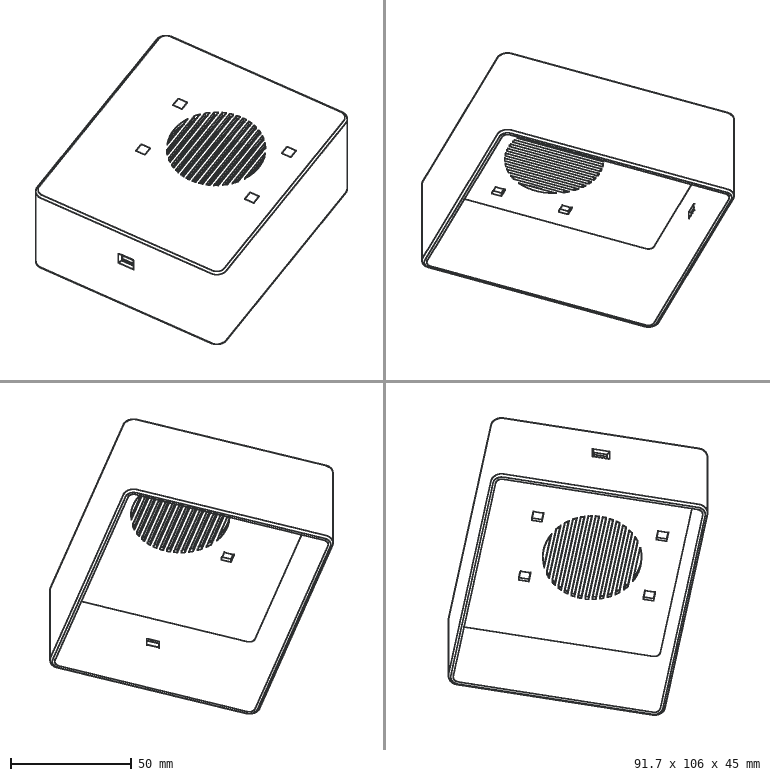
import cadquery as cq

width = 91.7
length = 106.0
height = 45.0
corner_radius = 4.6
edge_chamfer = 1.0
wall = 2.0
top_z = height / 2
bottom_z = -height / 2

grille_x = 7.4
grille_y = 7.6
grille_diameter = 41.1
bar_count = 13
bar_row_length = 36.0
bar_pitch = bar_row_length / (bar_count - 1)
bar_width = bar_pitch / 2

port_z = 5.6
port_mouth_width = 7.5
port_mouth_height = 5.6
port_chamfer = 1.01

pocket_side = 4.3
pocket_skin = 0.2
pocket_spacing_x = 52.8
pocket_spacing_y = 30.0
pocket_grid_x = 7.8
pocket_grid_y = 6.8


def make_shell():
    outer = (
        cq.Workplane("XY")
        .box(width, length, height)
        .edges("|Z").fillet(corner_radius)
        .faces("<Z or >Z").edges().chamfer(edge_chamfer)
    )
    cavity = (
        cq.Workplane("XY", origin=(0, 0, bottom_z))
        .rect(width - 2 * wall, length - 2 * wall)
        .extrude(height - wall)
        .edges("|Z").fillet(corner_radius - wall)
    )
    return outer.cut(cavity)


def make_grille():
    base = cq.Workplane("XY", origin=(grille_x, grille_y, top_z - wall))
    disc = base.circle(grille_diameter / 2).extrude(wall)
    bars = (
        base.rarray(bar_pitch, grille_diameter, bar_count, 1)
        .rect(bar_width, grille_diameter)
        .extrude(wall)
    )
    return disc.cut(bars)


def make_port():
    port_width = port_mouth_width - 2 * port_chamfer
    port_height = port_mouth_height - 2 * port_chamfer
    front = cq.Workplane("XZ", origin=(0, -length / 2, port_z))
    passage = front.rect(port_width, port_height).extrude(-wall)
    mouth = (
        front.rect(port_mouth_width, port_mouth_height)
        .workplane(offset=-port_chamfer)
        .rect(port_width, port_height)
        .loft()
    )
    return passage.union(mouth)


def make_pockets():
    return (
        cq.Workplane("XY", origin=(pocket_grid_x, pocket_grid_y, top_z - wall))
        .rarray(pocket_spacing_x, pocket_spacing_y, 2, 2)
        .rect(pocket_side, pocket_side)
        .extrude(wall - pocket_skin)
    )


result = make_shell().cut(make_grille()).cut(make_port()).cut(make_pockets())